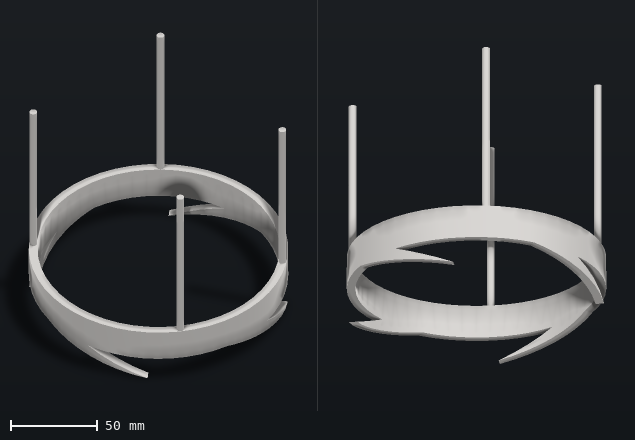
import cadquery as cq
import math

outer_diameter = 150.0
total_height = 135.0

inner_diameter = 140.0
band_height = 20.0
tooth_count = 4
tooth_depth = 15.0
root_half_angle = 12.4
tip_angle = 40.8
first_tooth_angle = -90.0
sector_span = 50.0
wall_margin = 3.0

rod_diameter = 4.5
rod_angles = [36.5, 134.7, 222.2, 325.6]

outer_radius = outer_diameter / 2
inner_radius = inner_diameter / 2
rod_circle_radius = (outer_radius + inner_radius) / 2
band_top = tooth_depth + band_height
rod_length = total_height - band_top


def polar(radius, angle):
    """Point at a radius and an angle in degrees."""
    return (radius * math.cos(math.radians(angle)), radius * math.sin(math.radians(angle)))


def twisted_sector(start, end, twist_rate):
    """Sector, wider than the wall, with helical sides that pass start and end at the tooth root."""
    near_radius = inner_radius - wall_margin
    far_radius = outer_radius + wall_margin
    middle = (start + end) / 2
    sector = (
        cq.Workplane("XY")
        .moveTo(*polar(near_radius, start))
        .lineTo(*polar(far_radius, start))
        .threePointArc(polar(far_radius, middle), polar(far_radius, end))
        .lineTo(*polar(near_radius, end))
        .threePointArc(polar(near_radius, middle), polar(near_radius, start))
        .close()
        .twistExtrude(tooth_depth, -twist_rate * tooth_depth)
    )
    return sector.rotate((0, 0, 0), (0, 0, 1), twist_rate * tooth_depth)


def make_crown():
    """Band with pointed teeth, left after clearing the space on both sides of each tooth."""
    lower_rate = (tip_angle + root_half_angle) / tooth_depth
    upper_rate = (tip_angle - root_half_angle) / tooth_depth
    past_upper_face = twisted_sector(root_half_angle, root_half_angle + sector_span, upper_rate)
    before_lower_face = twisted_sector(-root_half_angle - sector_span, -root_half_angle, lower_rate)
    crown = cq.Workplane("XY").circle(outer_radius).circle(inner_radius).extrude(band_top)
    for index in range(tooth_count):
        angle = first_tooth_angle + index * 360 / tooth_count
        crown = crown.cut(past_upper_face.rotate((0, 0, 0), (0, 0, 1), angle))
        crown = crown.cut(before_lower_face.rotate((0, 0, 0), (0, 0, 1), angle))
    return crown


def make_rod(angle):
    """Upright rod standing on the top face of the band."""
    return (
        cq.Workplane("XY")
        .workplane(offset=band_top)
        .center(*polar(rod_circle_radius, angle))
        .circle(rod_diameter / 2)
        .extrude(rod_length)
    )


crown = make_crown()
rods = [make_rod(angle) for angle in rod_angles]

result = cq.Compound.makeCompound([crown.solids().val(), *[rod.val() for rod in rods]])